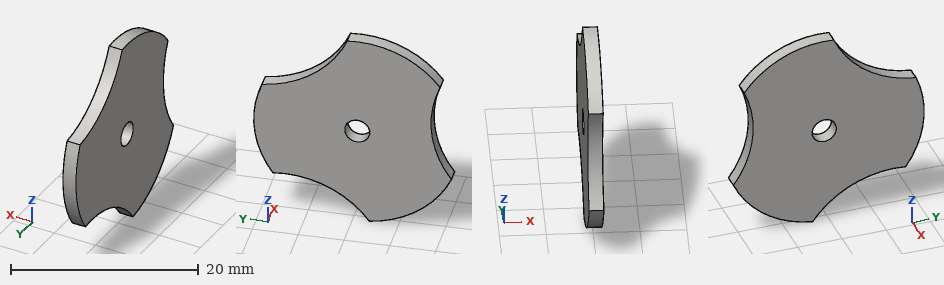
import cadquery as cq
import math

thickness = 1.59
disc_radius = 11.3
bore_diameter = 2.71
lobe_count = 3
notch_half_span = 30.6
first_notch_angle = 173.9

notch_radius = disc_radius
notch_centre_distance = 2 * disc_radius * math.cos(math.radians(notch_half_span))


def disc_along_x(radius, centre_y=0, centre_z=0):
    """Round plate of the part's thickness, centred on the YZ plane."""
    plate = cq.Workplane("YZ", origin=(-thickness / 2, 0, 0)).center(centre_y, centre_z).circle(radius)
    return plate.extrude(thickness)


def notch(index):
    """Cutter for one concave notch in the rim."""
    angle = math.radians(first_notch_angle + index * 360 / lobe_count)
    centre_y = notch_centre_distance * math.cos(angle)
    centre_z = notch_centre_distance * math.sin(angle)
    return disc_along_x(notch_radius, centre_y, centre_z)


result = disc_along_x(disc_radius)
for notch_index in range(lobe_count):
    result = result.cut(notch(notch_index))

result = result.cut(disc_along_x(bore_diameter / 2))